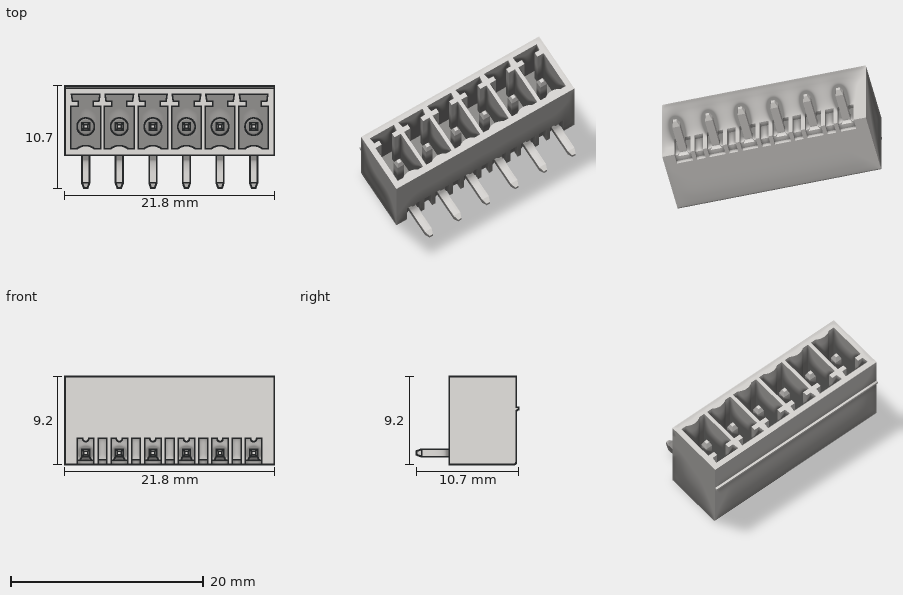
import cadquery as cq

length = 21.8
depth = 7.0
height = 9.2
back_edge_radius = 0.3

contact_count = 6
end_offset = 2.15
pitch = (length - 2 * end_offset) / (contact_count - 1)
contact_centres = [end_offset + i * pitch for i in range(contact_count)]
gap_centres = [x + pitch / 2 for x in contact_centres[:-1]]

ridge_top = 6.0
ridge_height = 0.4
ridge_lip = 0.25
ridge_projection = 0.26

cavity_floor = 2.75
cavity_width = 3.1
cavity_front = 0.72
shoulder_front = 5.12
shoulder_back = 5.65
cavity_back = 6.37
neck_width = 1.57
key_inner_width = 2.75
key_outer_width = 2.96
bulge_width = 1.79
bulge_height = 0.3

recess_height = 2.75
pin_recess_width = 1.72
pin_recess_depth = 0.44
gap_recess_width = 0.92
gap_recess_depth = 0.52
undercut_depth = 1.18
pin_undercut_height = 0.45
gap_undercut_height = 0.52
tab_radius = 0.3
tab_drop = 0.35

pin_size = 0.8
pin_tip_size = 0.4
pin_tip_length = 0.57
pin_level = 1.22
pin_projection = 3.4
contact_y = 3.0
contact_top = 8.07

relief_top_width = pin_size
relief_bottom_width = 1.18
relief_top = pin_level - pin_size / 2
relief_run = 0.2

collar_diameter = 1.8
collar_height = 0.26
collar_round = 0.25


def box(x_centre, width, y_range, z_range):
    """Box centred on x_centre that fills the given Y and Z ranges."""
    y_start, y_end = y_range
    z_start, z_end = z_range
    return (
        cq.Workplane("XY", origin=(x_centre, (y_start + y_end) / 2, z_start))
        .rect(width, y_end - y_start)
        .extrude(z_end - z_start)
    )


def housing():
    block = box(length / 2, length, (0, depth), (0, height))
    block = block.edges("|X and >Y and <Z").fillet(back_edge_radius)
    ridge = (
        cq.Workplane("YZ")
        .moveTo(depth - ridge_projection, ridge_top)
        .lineTo(depth + ridge_projection, ridge_top)
        .lineTo(depth + ridge_projection, ridge_top - ridge_lip)
        .lineTo(depth, ridge_top - ridge_height)
        .lineTo(depth - ridge_projection, ridge_top - ridge_height)
        .close()
        .extrude(length)
    )
    return block.union(ridge)


def cavity(x):
    """Keyed plug opening with a shallow bulge in its front wall."""
    main = box(x, cavity_width, (cavity_front, shoulder_front), (cavity_floor, height))
    neck = box(x, neck_width, (shoulder_front, shoulder_back), (cavity_floor, height))
    key = (
        cq.Workplane("XY", origin=(x, 0, cavity_floor))
        .moveTo(-key_inner_width / 2, shoulder_back)
        .lineTo(-key_outer_width / 2, cavity_back)
        .lineTo(key_outer_width / 2, cavity_back)
        .lineTo(key_inner_width / 2, shoulder_back)
        .close()
        .extrude(height - cavity_floor)
    )
    bulge = (
        cq.Workplane("XY", origin=(x, cavity_front, cavity_floor))
        .moveTo(-bulge_width / 2, 0)
        .threePointArc((0, bulge_height), (bulge_width / 2, 0))
        .close()
        .extrude(height - cavity_floor)
    )
    return main.union(neck).union(key).cut(bulge)


def stepped_recess(x, width, recess_depth, undercut_height):
    """Front recess that runs deeper along the underside."""
    upper = box(x, width, (0, recess_depth), (0, recess_height))
    undercut = box(x, width, (0, undercut_depth), (0, undercut_height))
    return upper.union(undercut)


def pin_relief(x):
    """Space under a pin: flared downward, with a steep roof that falls toward the back."""
    flare = (
        cq.Workplane("XZ", origin=(x, 0, 0))
        .moveTo(-relief_top_width / 2, relief_top)
        .lineTo(relief_top_width / 2, relief_top)
        .lineTo(relief_bottom_width / 2, pin_undercut_height)
        .lineTo(-relief_bottom_width / 2, pin_undercut_height)
        .close()
        .extrude(-undercut_depth)
    )
    slope = (
        cq.Workplane("YZ", origin=(x - relief_bottom_width / 2, 0, 0))
        .moveTo(pin_recess_depth, relief_top)
        .lineTo(pin_recess_depth + relief_run, pin_undercut_height)
        .lineTo(pin_recess_depth, pin_undercut_height)
        .close()
        .extrude(relief_bottom_width)
    )
    return flare.intersect(slope)


def recess_tab(x):
    """Round-ended tab hanging from the top of a pin recess, flush with the front face."""
    arc_level = recess_height - tab_drop + tab_radius
    return (
        cq.Workplane("XZ", origin=(x, 0, 0))
        .moveTo(-tab_radius, recess_height)
        .lineTo(-tab_radius, arc_level)
        .threePointArc((0, recess_height - tab_drop), (tab_radius, arc_level))
        .lineTo(tab_radius, recess_height)
        .close()
        .extrude(-pin_recess_depth)
    )


def pointed_bar(plane, bar_length):
    """Square bar on the given plane, ending in a blunt pyramid tip."""
    shaft_length = bar_length - pin_tip_length
    shaft = cq.Workplane(plane).rect(pin_size, pin_size).extrude(shaft_length)
    tip = (
        cq.Workplane(plane)
        .workplane(offset=shaft_length)
        .rect(pin_size, pin_size)
        .workplane(offset=pin_tip_length)
        .rect(pin_tip_size, pin_tip_size)
        .loft(combine=True)
    )
    return shaft.union(tip)


def contact_pin(x):
    """Solder leg toward -Y, upright contact and the collar around its foot."""
    corner = (x, contact_y, pin_level)
    leg = pointed_bar("XZ", contact_y + pin_projection).translate(corner)
    upright = pointed_bar("XY", contact_top - pin_level).translate(corner)
    collar = (
        cq.Workplane("XY", origin=(x, contact_y, cavity_floor))
        .circle(collar_diameter / 2)
        .extrude(collar_height)
        .faces(">Z")
        .edges()
        .fillet(collar_round)
    )
    return leg.union(upright).union(collar)


result = housing()
for x in contact_centres:
    result = result.cut(cavity(x))
    result = result.cut(stepped_recess(x, pin_recess_width, pin_recess_depth, pin_undercut_height))
    result = result.cut(pin_relief(x))
    result = result.union(recess_tab(x))
    result = result.union(contact_pin(x))
for x in gap_centres:
    result = result.cut(stepped_recess(x, gap_recess_width, gap_recess_depth, gap_undercut_height))